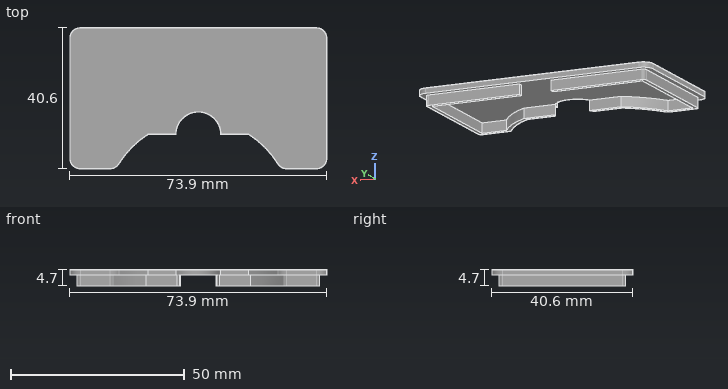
import cadquery as cq
import math

length = 73.9
width = 40.6
total_height = 4.7
plate_thickness = 1.6
corner_radius = 3.0

notch_depth = 9.9
notch_radius = 26.9
notch_center_drop = 12.8
finger_hole_radius = 6.4

lip_inset = 2.1
lip_thickness = 1.5
back_gap_width = 10.1
lip_height = total_height - plate_thickness

front_y = -width / 2
notch_y = front_y + notch_depth
notch_center_y = front_y - notch_center_drop


def notch_half_width(y):
    """Half the width of the notch circle at the given Y."""
    return math.sqrt(notch_radius**2 - (y - notch_center_y)**2)


def notched_plate(thickness):
    """Rounded rectangle with the wide front notch, without the finger hole."""
    mouth = notch_half_width(front_y)
    floor = notch_half_width(notch_y)
    middle_y = (front_y + notch_y) / 2
    middle = notch_half_width(middle_y)
    return (
        cq.Workplane("XY")
        .moveTo(-length / 2, front_y)
        .lineTo(-mouth, front_y)
        .threePointArc((-middle, middle_y), (-floor, notch_y))
        .lineTo(floor, notch_y)
        .threePointArc((middle, middle_y), (mouth, front_y))
        .lineTo(length / 2, front_y)
        .lineTo(length / 2, width / 2)
        .lineTo(-length / 2, width / 2)
        .close()
        .extrude(thickness)
    )


def rounded_outline():
    """Outer wire of the notched plate, rounded at the corners on its front and back edges."""
    blank = notched_plate(plate_thickness)
    rounded = blank.edges("|Z and (<Y or >Y)").fillet(corner_radius)
    return rounded.faces("<Z").wires().val()


def inset_block(outline, inset):
    """Lip-height block whose sides lie the given distance inside the outline."""
    wire = outline.offset2D(-inset, "intersection")[0]
    return cq.Workplane(cq.Solid.extrudeLinear(wire, [], cq.Vector(0, 0, lip_height)))


def locating_lip(outline):
    """Thin wall following the plate edge, open in the middle of its back side."""
    outer = inset_block(outline, lip_inset)
    inner = inset_block(outline, lip_inset + lip_thickness)
    back_gap = (
        cq.Workplane("XY")
        .rect(back_gap_width, width / 2)
        .extrude(lip_height)
        .translate((0, width / 2, 0))
    )
    return outer.cut(inner).cut(back_gap)


outline = rounded_outline()
plate = cq.Workplane(
    cq.Solid.extrudeLinear(outline, [], cq.Vector(0, 0, plate_thickness))
).translate((0, 0, lip_height))
finger_hole = (
    cq.Workplane("XY")
    .center(0, notch_y)
    .circle(finger_hole_radius)
    .extrude(total_height)
)
result = plate.union(locating_lip(outline)).cut(finger_hole)